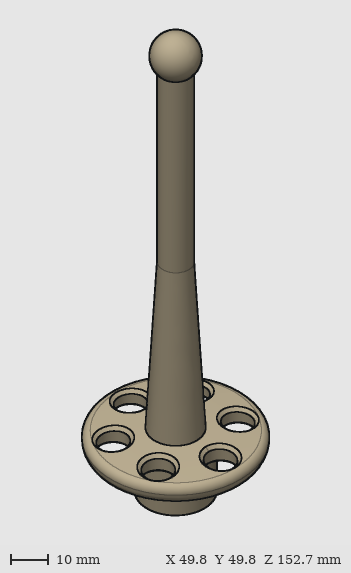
import cadquery as cq
import math

total_height = 152.7

spigot_diameter = 22.0
spigot_length = 15.0

flange_diameter = 49.8
flange_height = 6.3
underside_diameter = 48.0
dome_radius = 244.3
rim_round_radius = 2.5

hole_count = 6
hole_diameter = 9.0
hole_ring_diameter = 34.0
hole_chamfer = 1.0

stem_base_diameter = 16.0
stem_diameter = 10.0
taper_top_z = 76.8
ball_diameter = 14.0

flange_top_z = spigot_length + flange_height


def point_on_arc(center, radius, angle):
    """Point of a circle, with the angle measured from the radial axis toward +Z."""
    return (center[0] + radius * math.cos(angle), center[1] + radius * math.sin(angle))


def make_flange():
    """Revolve the flange section: flat underside, rounded rim and shallow dome."""
    rim_radius = flange_diameter / 2
    underside_radius = underside_diameter / 2

    dome_center = (0, flange_top_z - dome_radius)
    center_distance = dome_radius - rim_round_radius
    round_center_r = rim_radius - rim_round_radius
    join_angle = math.acos(round_center_r / center_distance)
    round_center = point_on_arc(dome_center, center_distance, join_angle)
    widest_point = (rim_radius, round_center[1])
    dome_edge = point_on_arc(dome_center, dome_radius, join_angle)
    round_middle = point_on_arc(round_center, rim_round_radius, join_angle / 2)
    dome_middle = point_on_arc(dome_center, dome_radius, (join_angle + math.pi / 2) / 2)

    return (
        cq.Workplane("XZ")
        .moveTo(0, flange_top_z)
        .threePointArc(dome_middle, dome_edge)
        .threePointArc(round_middle, widest_point)
        .tangentArcPoint((underside_radius, spigot_length), relative=False)
        .lineTo(0, spigot_length)
        .close()
        .revolve(360, (0, 0), (0, 1))
    )


def drill_flange(flange):
    """Drill the ring of holes and chamfer them at both ends."""
    holes = (
        cq.Workplane("XY")
        .polarArray(hole_ring_diameter / 2, 0, 360, hole_count)
        .circle(hole_diameter / 2)
        .extrude(flange_top_z)
    )
    drilled = flange.cut(holes)

    def is_hole_rim(edge):
        center = edge.Center()
        off_axis = math.hypot(center.x, center.y) > hole_ring_diameter / 4
        return off_axis and edge.geomType() != "LINE"

    hole_rims = [edge for edge in drilled.edges().vals() if is_hole_rim(edge)]
    return drilled.newObject(hole_rims).chamfer(hole_chamfer)


def make_core():
    """Revolve the spigot, the tapered stem and the straight stem as one section."""
    ball_center_z = total_height - ball_diameter / 2
    core = (
        cq.Workplane("XZ")
        .lineTo(spigot_diameter / 2, 0)
        .lineTo(spigot_diameter / 2, spigot_length)
        .lineTo(stem_base_diameter / 2, spigot_length)
        .lineTo(stem_base_diameter / 2, flange_top_z)
        .lineTo(stem_diameter / 2, taper_top_z)
        .lineTo(stem_diameter / 2, ball_center_z)
        .lineTo(0, ball_center_z)
        .close()
        .revolve(360, (0, 0), (0, 1))
    )
    ball = cq.Workplane("XY").sphere(ball_diameter / 2).translate((0, 0, ball_center_z))
    return core.union(ball)


result = drill_flange(make_flange()).union(make_core())